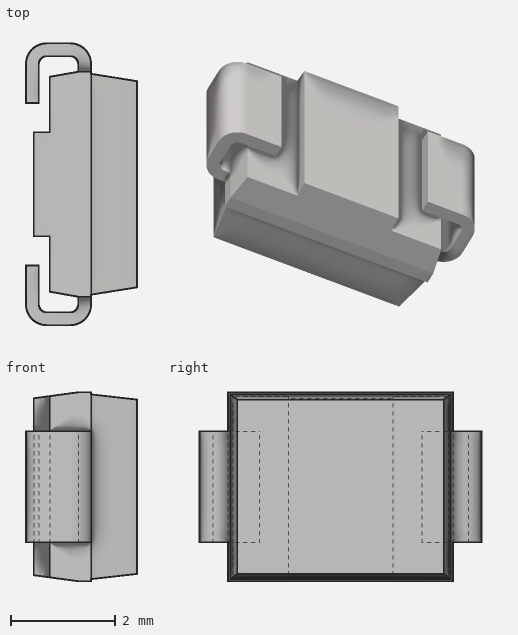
import cadquery as cq


lead_span = 5.40
lead_width = 2.13
lead_thickness = 0.25
lead_height = 1.25
lead_foot_length = 1.145
bend_outer_radius = 0.40
bend_inner_radius = bend_outer_radius - lead_thickness

package_height = 2.13
body_length = 4.31
body_width = 3.62
pad_length = 2.00
pad_standoff = 0.15
ledge_height = 0.455
band_bottom = lead_height - lead_thickness
band_top = lead_height
pad_length_inset = 0.15
pad_width_inset = 0.115
shoulder_inset = 0.04
roof_length_inset = 0.18
roof_width_inset = 0.14


def tapered_block(x_start, start_insets, x_end, end_insets):
    """Solid tapering along X between two rectangles inset (along Y, along Z) from the body outline."""
    start_length = body_length - 2 * start_insets[0]
    start_width = body_width - 2 * start_insets[1]
    end_length = body_length - 2 * end_insets[0]
    end_width = body_width - 2 * end_insets[1]
    return (
        cq.Workplane("YZ", origin=(x_start, 0, 0))
        .rect(start_length, start_width)
        .workplane(offset=x_end - x_start)
        .rect(end_length, end_width)
        .loft(ruled=True, combine=True)
    )


def lower_body():
    """Half below the parting band: tapered sides, with both ends cut back to leave a central pad."""
    block = tapered_block(
        pad_standoff, (pad_length_inset, pad_width_inset), band_bottom, (0, 0)
    )
    relief_height = ledge_height - pad_standoff
    relief_length = (body_length - pad_length) / 2
    for side in (-1, 1):
        relief = cq.Workplane("XY").box(relief_height, relief_length, body_width)
        relief_x = pad_standoff + relief_height / 2
        relief_y = side * (pad_length + relief_length) / 2
        block = block.cut(relief.translate((relief_x, relief_y, 0)))
    return block


def parting_band():
    """Straight-sided band at the level where the leads leave the body."""
    return tapered_block(band_bottom, (0, 0), band_top, (0, 0))


def upper_body():
    """Half above the parting band, set in by a small shoulder and tapering to the roof."""
    return tapered_block(
        band_top,
        (shoulder_inset, shoulder_inset),
        package_height,
        (roof_length_inset, roof_width_inset),
    )


def lead():
    """C-shaped strip at the +Y end, running from the band around to the foot."""
    y_outer = lead_span / 2
    y_body = body_length / 2
    y_foot_end = y_outer - lead_foot_length
    blank = (
        cq.Workplane("XY")
        .box(lead_height, lead_foot_length, lead_width)
        .translate((lead_height / 2, y_outer - lead_foot_length / 2, 0))
        .edges("|Z and >Y")
        .fillet(bend_outer_radius)
    )
    inner_height = lead_height - 2 * lead_thickness
    inner_length = lead_foot_length - lead_thickness
    opening = (
        cq.Workplane("XY")
        .box(inner_height, inner_length, lead_width)
        .translate((lead_height / 2, y_foot_end + inner_length / 2, 0))
        .edges("|Z and >Y")
        .fillet(bend_inner_radius)
    )
    arm_trim_length = y_body - y_foot_end
    arm_trim = (
        cq.Workplane("XY")
        .box(lead_thickness, arm_trim_length, lead_width)
        .translate((band_bottom + lead_thickness / 2, y_body - arm_trim_length / 2, 0))
    )
    return blank.cut(opening).cut(arm_trim)


rear_lead = lead()
front_lead = rear_lead.mirror("XZ")

result = (
    lower_body()
    .union(parting_band())
    .union(upper_body())
    .union(rear_lead)
    .union(front_lead)
)